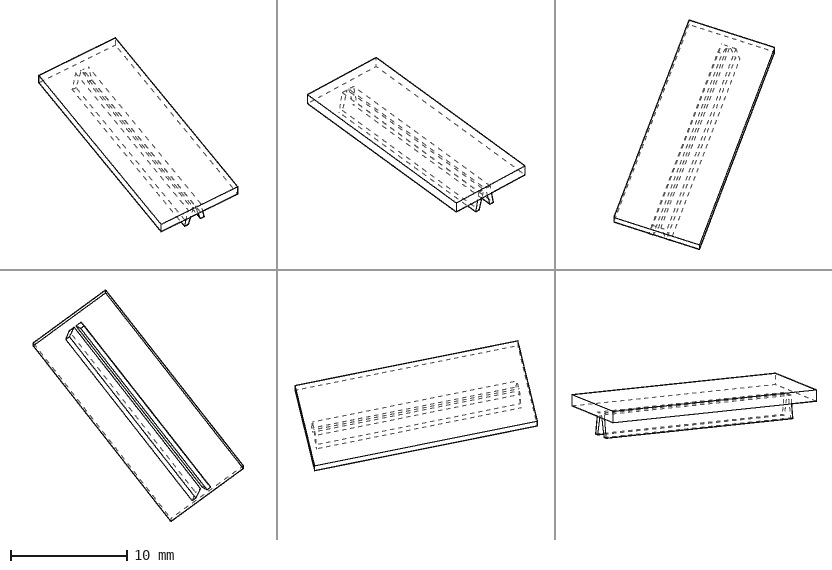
import cadquery as cq

plate_length = 19.6
plate_width = 7.8
plate_thickness = 1.0

rib_length = 18.0
rib_height = 2.0
root_inner = 0.1
root_outer = 0.65
tip_inner = 0.6
tip_outer = 1.0


def make_plate():
    """Flat plate with its underside on Z = 0."""
    return cq.Workplane("XY").box(
        plate_length, plate_width, plate_thickness, centered=(True, True, False)
    )


def make_rib(side):
    """Tapered rib leaning outward on the +Y (side = 1) or -Y (side = -1) half."""
    profile = [
        (side * root_inner, 0),
        (side * root_outer, 0),
        (side * tip_outer, -rib_height),
        (side * tip_inner, -rib_height),
    ]
    return cq.Workplane("YZ").polyline(profile).close().extrude(rib_length / 2, both=True)


result = make_plate()
for side in (-1, 1):
    result = result.union(make_rib(side))